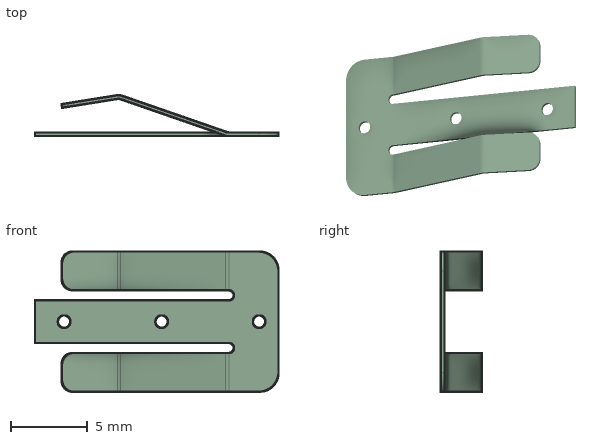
import cadquery as cq
import math

thickness = 0.254
strip_width = 2.794
slot_width = 0.635
arm_width = 2.54

hole_diameter = 0.8
hole_pitch = 6.35
strip_end_margin = 1.905
plate_end_margin = 1.27
plate_corner_radius = 1.27
tip_corner_radius = 0.76

plate_depth = 3.24
inner_radius = 0.381
rise_angle = math.radians(19.1)
tip_angle = math.radians(9.1)
crest_reach = 7.06
arm_reach = 10.90

strip_end_x = -hole_pitch - strip_end_margin
plate_end_x = hole_pitch + plate_end_margin
arm_root_x = plate_end_x - plate_depth
overall_width = strip_width + 2 * (slot_width + arm_width)
arm_center_z = (overall_width - arm_width) / 2
slot_center_z = (strip_width + slot_width) / 2
outer_radius = inner_radius + thickness


def polar(center, radius, angle):
    """Point on a circle, with the angle measured from +Y towards -X."""
    return (center[0] - radius * math.sin(angle), center[1] + radius * math.cos(angle))


def make_plate():
    """Flat end plate with the central strip and the rounded slot ends beside it."""
    plate = (
        cq.Workplane("XY")
        .box(plate_depth, thickness, overall_width, centered=(False, False, True))
        .translate((arm_root_x, 0, 0))
        .edges("|Y and >X")
        .fillet(plate_corner_radius)
    )
    strip = (
        cq.Workplane("XY")
        .box(plate_end_x - strip_end_x, thickness, strip_width, centered=(False, False, True))
        .translate((strip_end_x, 0, 0))
    )
    slot_ends = (
        cq.Workplane("XZ")
        .pushPoints([(arm_root_x, slot_center_z), (arm_root_x, -slot_center_z)])
        .circle(slot_width / 2)
        .extrude(-thickness)
    )
    return plate.cut(slot_ends).union(strip)


def make_arm(center_z):
    """Spring arm: rises from the plate, turns over at the crest, and falls to a rounded tip."""
    root_center = (arm_root_x, outer_radius)
    root_angles = (math.pi, math.pi - rise_angle / 2, math.pi - rise_angle)
    root_front = [polar(root_center, outer_radius, angle) for angle in root_angles]
    root_back = [polar(root_center, inner_radius, angle) for angle in root_angles]

    crest_start_x = arm_root_x - crest_reach
    rise_end_y = root_front[-1][1] + (root_front[-1][0] - crest_start_x) * math.tan(rise_angle)
    crest_center = (
        crest_start_x - inner_radius * math.sin(rise_angle),
        rise_end_y - inner_radius * math.cos(rise_angle),
    )
    crest_angles = (-rise_angle, (tip_angle - rise_angle) / 2, tip_angle)
    crest_front = [polar(crest_center, inner_radius, angle) for angle in crest_angles]
    crest_back = [polar(crest_center, outer_radius, angle) for angle in crest_angles]

    tip_back_x = arm_root_x - arm_reach
    tip_back = (tip_back_x, crest_back[-1][1] - (crest_back[-1][0] - tip_back_x) * math.tan(tip_angle))
    tip_front = polar(tip_back, -thickness, tip_angle)

    arm = (
        cq.Workplane("XY", origin=(0, 0, center_z))
        .moveTo(*root_front[0])
        .threePointArc(root_front[1], root_front[2])
        .lineTo(*crest_front[0])
        .threePointArc(crest_front[1], crest_front[2])
        .lineTo(*tip_front)
        .lineTo(*tip_back)
        .lineTo(*crest_back[2])
        .threePointArc(crest_back[1], crest_back[0])
        .lineTo(*root_back[2])
        .threePointArc(root_back[1], root_back[0])
        .close()
        .extrude(arm_width / 2, both=True)
    )
    return arm.faces("<X").edges("not |Z").fillet(tip_corner_radius)


def make_holes():
    """Three through holes spaced along the strip's center line."""
    return (
        cq.Workplane("XZ")
        .pushPoints([(-hole_pitch, 0), (0, 0), (hole_pitch, 0)])
        .circle(hole_diameter / 2)
        .extrude(-thickness)
    )


result = make_plate()
for side in (1, -1):
    result = result.union(make_arm(side * arm_center_z))
result = result.cut(make_holes())